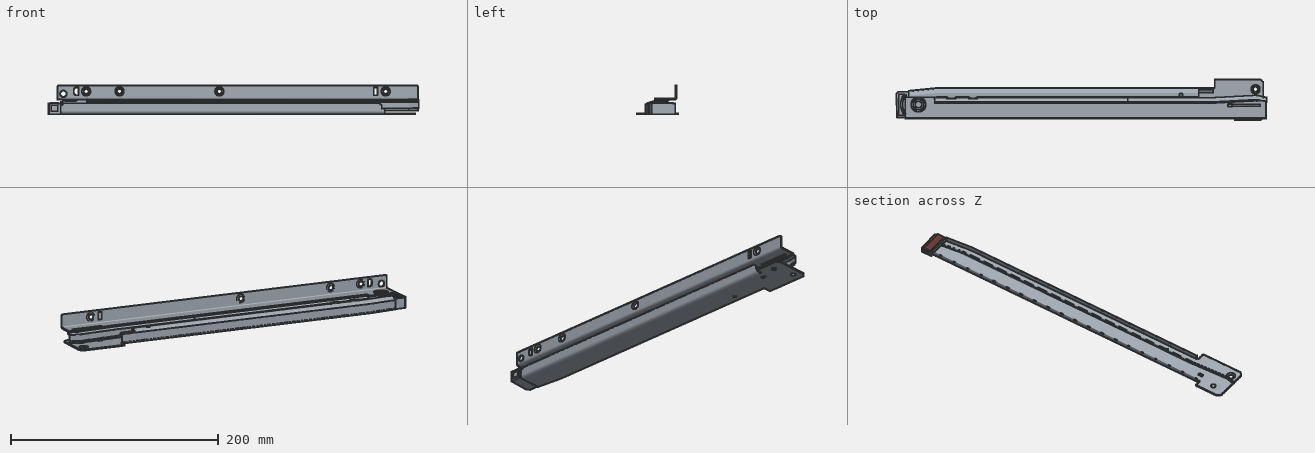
import math

import cadquery as cq


TOTAL_LENGTH = 356.63
TOTAL_WIDTH = 39.5
TOTAL_HEIGHT = 27.83
SHEET = 1.2

UPPER_START = 9.0
UPPER_END = TOTAL_LENGTH - 0.8
FLANGE_FRONT = 1.3
WEB_TOP = 15.2
UPPER_BEND = 2.2
FLANGE_CORNER = 1.5
WEB_EDGE = 16.6
FULL_WEB_EDGE = 22.2
STEP_START = 37.0
STEP_FOOT = (17.8, 13.8)
TRACK_EDGE = (21.9, 12.4)
SKIRT_START = 14.0
SKIRT_BOTTOM = 5.4
CURL = (20.9, 3.4)
CREASE = (19.8, 13.4)
CREASE_START = 223.0
NOTCHES_X = ((48.5, 58.0), (69.5, 78.5))
NOTCH_DEPTH = 1.0
NOTCH_BOTTOM = 9.0
FLARE_START = 306.0
FLARE_SHIFT = 2.2
TAIL_START = 347.0
TAIL_DEPTH = 2.2
TAIL_BOTTOM = 5.6

GRID = 32.0
SCREW_FIRST = 36.7
SCREW_STEPS = (0, 1, 4, 9)
SCREW_Z = 22.0
SCREW_DIAMETER = 4.6
SINK_DIAMETER = 8.4
SINK_ANGLE = 115.0
PIN_HOLE = (14.7, 19.7)
PIN_HOLE_DIAMETER = 6.0
LEFT_SLOT_X = 27.0
LEFT_SLOT_SIZE = (4.2, 7.2)
RIGHT_SLOT_X = 315.0
RIGHT_SLOT_SIZE = (3.2, 7.4)

DIMPLE_CENTER = (21.5, 15.2)
DIMPLE_RADIUS = 7.0
DIMPLE_FLOOR_RADIUS = 5.2
DIMPLE_DEPTH = 1.4
RIVET_RADIUS = 3.2
RIVET_HEIGHT = 0.4
LATCH_SLOT_X = (319.3, 350.0)
LATCH_SLOT_Y = (13.4, 15.6)

LOWER_START = 12.0
LOWER_END = 324.0
LOWER_FRONT = 3.6
LOWER_REAR = 31.3
LOWER_BEND = 3.2
FRONT_WALL_TOP = 10.7
FRONT_WALL_CUT = 3.0
FRONT_WALL_END = 321.0
FRONT_WALL_END_CUT = 2.5
FRONT_WALL_FOOT = 5.2
REAR_WALL_TOP = 9.6
SHOULDER = (29.4, 10.8)
LIP_TOP = 11.8
LIP_START = 26.3
LIP_EDGE = 22.5
TAPER_END = 40.0
TAPER_SHIFT = 2.8
LOWER_REAR_END = 305.0
LIP_END = 291.0
FLAP_EDGE_Z = 9.0
TONGUE_GAP = 0.3
PEEP_HOLE = (274.0, 24.4)
PEEP_HOLE_DIAMETER = 2.8
BASE_SLOT_X = (319.0, 323.0)

TAB_START = 306.3
TAB_END = 353.3
TAB_CORNER = 3.0
TAB_NECK = 325.5
TAB_HOLE = (345.7, 29.9)
RECESS_CENTER = (339.5, 9.4)
RECESS_RADIUS = 7.0
RECESS_FLOOR_RADIUS = 4.8
RECESS_DEPTH = 0.7
RECESS_HOLE_RADIUS = 2.2

STOP_FRONT = 2.6
STOP_REAR = 27.6
STOP_TOP = 10.4
STOP_CORNER = 2.2
STOP_SETBACK = 0.9
PAD_HEIGHT = 0.8
PAD_MARGIN = 2.4
STOP_POCKET_X = (3.0, 9.4)
STOP_POCKET_Z = (2.8, 8.6)
STOP_POCKET_DEPTH = 0.5
ARC_GROOVE_RADIUS = 17.0
ARC_GROOVE_WIDTH = 1.8


def sheet_outline(path):
    """Closed Y-Z outline of a bent sheet lying to the right of the path, with mitred corners."""
    normals = []
    for (y0, z0), (y1, z1) in zip(path, path[1:]):
        length = math.hypot(y1 - y0, z1 - z0)
        normals.append(((z1 - z0) / length, (y0 - y1) / length))
    before = [normals[0]] + normals
    after = normals + [normals[-1]]
    inner = []
    for (y, z), (ay, az), (by, bz) in zip(path, before, after):
        reach = SHEET / (1 + ay * by + az * bz)
        inner.append((y + reach * (ay + by), z + reach * (az + bz)))
    return list(path) + inner[::-1]


def bent_sheet(path, x_start, x_end, start_shift=0.0, end_shift=0.0):
    """Sheet along X; its two ends may be shifted along Y to make it run at an angle."""
    outline = sheet_outline(path)
    ends = []
    for x, shift in ((x_start, start_shift), (x_end, end_shift)):
        points = [cq.Vector(x, y + shift, z) for y, z in outline]
        ends.append(cq.Wire.makePolygon(points, close=True))
    return cq.Workplane(obj=cq.Solid.makeLoft(ends, True))


def block(x_range, y_range, z_range):
    size = [high - low for low, high in (x_range, y_range, z_range)]
    corner = (x_range[0], y_range[0], z_range[0])
    return cq.Workplane().box(*size, centered=False).translate(corner)


def tapered_disc(center, top, radius, floor_radius, depth):
    """Disc that narrows downward from the given top level."""
    return (
        cq.Workplane(origin=(*center, top))
        .circle(radius)
        .workplane(offset=-depth)
        .circle(floor_radius)
        .loft(ruled=True)
    )


def cylinder_z(center, radius, z_low, z_high):
    return cq.Workplane().center(*center).circle(radius).extrude(z_high - z_low).translate((0, 0, z_low))


def trapezoid(x_range, wide_y, narrow_y, z_range):
    """Prism along Z whose sides slope at 45 degrees from its wide side to its narrow side."""
    x_start, x_end = x_range
    inset = abs(wide_y - narrow_y)
    outline = [(x_start, wide_y), (x_start + inset, narrow_y), (x_end - inset, narrow_y), (x_end, wide_y)]
    prism = cq.Workplane().polyline(outline).close().extrude(z_range[1] - z_range[0])
    return prism.translate((0, 0, z_range[0]))


def angle_strip(x_range, front, outer_bend, outline):
    """Sheet bent along X, with rounded inside and outside of its lower front bend."""
    strip = cq.Workplane("YZ").polyline(outline).close().extrude(x_range[1] - x_range[0])
    bottom = min(z for _, z in outline)
    outside = cq.selectors.NearestToPointSelector((strip.val().Center().x, front, bottom))
    inside_point = (strip.val().Center().x, front + SHEET, bottom + SHEET)
    strip = strip.edges("|X").edges(outside).fillet(outer_bend)
    strip = strip.edges("|X").edges(cq.selectors.NearestToPointSelector(inside_point))
    return strip.fillet(outer_bend - SHEET).translate((x_range[0], 0, 0))


def upper_angle():
    """Mounting flange and flat web."""
    web_bottom = WEB_TOP - SHEET
    outline = sheet_outline([(WEB_EDGE, web_bottom), (FLANGE_FRONT, web_bottom), (FLANGE_FRONT, TOTAL_HEIGHT)])
    angle = angle_strip((UPPER_START, UPPER_END), FLANGE_FRONT, UPPER_BEND, outline)
    angle = angle.edges("|Y and >Z").fillet(FLANGE_CORNER)
    wide_end = block((UPPER_START, STEP_START), (WEB_EDGE, FULL_WEB_EDGE), (web_bottom, WEB_TOP))
    return angle.union(wide_end)


def upper_track():
    """Stepped track and hanging skirt; the right end flares to the rear and ends in a bent tail."""
    skirt = [TRACK_EDGE, (TRACK_EDGE[0], SKIRT_BOTTOM), CURL]
    slope = [(WEB_EDGE - SHEET, WEB_TOP), (WEB_EDGE, WEB_TOP), STEP_FOOT]
    creased = slope + [CREASE] + skirt
    skirt_under_web = [(TRACK_EDGE[0], WEB_TOP - SHEET)] + skirt[1:]
    tail_path = [STEP_FOOT, CREASE, TRACK_EDGE, (TRACK_EDGE[0], TAIL_BOTTOM)]
    track = bent_sheet(skirt_under_web, SKIRT_START, STEP_START, -TAPER_SHIFT, 0.0)
    track = track.union(bent_sheet(slope + skirt, STEP_START, CREASE_START))
    track = track.union(bent_sheet(creased, CREASE_START, FLARE_START))
    track = track.union(bent_sheet(creased, FLARE_START, TAIL_START, 0.0, FLARE_SHIFT))
    tail = bent_sheet(tail_path, TAIL_START, TOTAL_LENGTH, FLARE_SHIFT, FLARE_SHIFT - TAIL_DEPTH)
    floor = TRACK_EDGE[0] - NOTCH_DEPTH
    for notch in NOTCHES_X:
        track = track.cut(trapezoid(notch, TRACK_EDGE[0], floor, (NOTCH_BOTTOM, WEB_TOP)))
    flare_web = (
        cq.Workplane()
        .polyline([
            (FLARE_START, WEB_EDGE),
            (TAIL_START, WEB_EDGE + FLARE_SHIFT),
            (UPPER_END, WEB_EDGE + FLARE_SHIFT),
            (UPPER_END, WEB_EDGE - SHEET),
            (FLARE_START, WEB_EDGE - SHEET),
        ])
        .close()
        .extrude(SHEET)
        .translate((0, 0, WEB_TOP - SHEET))
    )
    tail_curl = bent_sheet([(TRACK_EDGE[0], TAIL_BOTTOM), CURL], TAIL_START, UPPER_END, FLARE_SHIFT,
                           FLARE_SHIFT - TAIL_DEPTH)
    return track.union(tail).union(tail_curl).union(flare_web)


def countersunk_holes(plate, points):
    return plate.pushPoints(points).cskHole(SCREW_DIAMETER, SINK_DIAMETER, SINK_ANGLE, depth=2 * SHEET)


def flange_plane(rail):
    return rail.copyWorkplane(cq.Workplane("XZ", origin=(0, FLANGE_FRONT, 0)))


def cut_flange_holes(rail):
    screws = [(SCREW_FIRST + GRID * step, SCREW_Z) for step in SCREW_STEPS]
    rail = countersunk_holes(flange_plane(rail), screws)
    rail = flange_plane(rail).pushPoints([PIN_HOLE]).hole(PIN_HOLE_DIAMETER, depth=2 * SHEET)
    y_range = (FLANGE_FRONT - SHEET, FLANGE_FRONT + 2 * SHEET)
    slots = []
    for x, (width, height) in ((LEFT_SLOT_X, LEFT_SLOT_SIZE), (RIGHT_SLOT_X, RIGHT_SLOT_SIZE)):
        z_range = (SCREW_Z - height / 2, SCREW_Z + height / 2)
        slots.append(block((x - width / 2, x + width / 2), y_range, z_range))
    rounded_slot = slots[0].edges("|Y and <X").fillet(LEFT_SLOT_SIZE[0] / 2)
    return rail.cut(rounded_slot).cut(slots[1])


def add_dimple(rail):
    """Pressed dimple holding a flat rivet head."""
    floor = WEB_TOP - DIMPLE_DEPTH
    rivet = cylinder_z(DIMPLE_CENTER, RIVET_RADIUS, floor, floor + RIVET_HEIGHT)
    shape = (DIMPLE_RADIUS, DIMPLE_FLOOR_RADIUS, DIMPLE_DEPTH)
    underside = tapered_disc(DIMPLE_CENTER, WEB_TOP - SHEET, *shape)
    hollow = tapered_disc(DIMPLE_CENTER, WEB_TOP, *shape)
    return rail.union(underside).cut(hollow).union(rivet)


def upper_rail():
    rail = upper_angle().union(upper_track())
    rail = cut_flange_holes(rail)
    rail = add_dimple(rail)
    return rail.cut(block(LATCH_SLOT_X, LATCH_SLOT_Y, (WEB_TOP - 2 * SHEET, WEB_TOP + SHEET)))


def lower_angle():
    """Front wall with sloped ends and the base behind it."""
    base_rear = LOWER_REAR - TAPER_SHIFT - SHEET
    outline = sheet_outline([(base_rear, 0), (LOWER_FRONT, 0), (LOWER_FRONT, FRONT_WALL_TOP)])
    angle = angle_strip((LOWER_START, LOWER_END), LOWER_FRONT, LOWER_BEND, outline)
    angle = angle.edges("|Y and >Z and <X").chamfer(FRONT_WALL_CUT)
    wall_y = (LOWER_FRONT, LOWER_FRONT + SHEET)
    angle = angle.cut(block((FRONT_WALL_END, LOWER_END), wall_y, (FRONT_WALL_FOOT, FRONT_WALL_TOP)))
    return angle.edges("|Y").edges(">Z").edges(">X").chamfer(FRONT_WALL_END_CUT)


def lower_rear():
    """Rear wall with a sloped shoulder and a flat, tongued lip; the left end tapers to the front."""
    path = [
        (LIP_EDGE, LIP_TOP),
        (LIP_START, LIP_TOP),
        SHOULDER,
        (LOWER_REAR, REAR_WALL_TOP),
        (LOWER_REAR, 0),
        (LOWER_REAR - TAPER_SHIFT - 2 * SHEET, 0),
    ]
    straight = bent_sheet(path, TAPER_END, LOWER_REAR_END)
    taper = bent_sheet(path, LOWER_START, TAPER_END, -TAPER_SHIFT, 0.0)
    lip_cut = block((LIP_END, LOWER_REAR_END), (LIP_EDGE, SHOULDER[0]), (SHEET, LIP_TOP))
    flap = bent_sheet([(LIP_START, FLAP_EDGE_Z), SHOULDER], LIP_END, LOWER_REAR_END)
    rear = straight.union(taper).cut(lip_cut).union(flap)
    tongue_tip = TRACK_EDGE[0] - NOTCH_DEPTH + TONGUE_GAP
    for x_start, x_end in NOTCHES_X:
        tongue_x = (x_start + TONGUE_GAP, x_end - TONGUE_GAP)
        rear = rear.union(trapezoid(tongue_x, LIP_EDGE, tongue_tip, (LIP_TOP - SHEET, LIP_TOP)))
    return rear


def screw_tab():
    """Flat tab with a countersunk hole and a recessed hole; its right part spans the full width."""
    narrow = block((TAB_START, TAB_NECK), (LOWER_FRONT + LOWER_BEND, TOTAL_WIDTH), (0, SHEET))
    wide = block((TAB_NECK, TAB_END), (0, TOTAL_WIDTH), (0, SHEET))
    wide = wide.edges("|Z and >X").chamfer(TAB_CORNER)
    tab = narrow.union(wide)
    joint = block((LOWER_REAR_END, TAB_START), (LOWER_FRONT + LOWER_BEND, LOWER_REAR), (0, SHEET))
    tab = tab.union(joint)
    tab = tab.copyWorkplane(cq.Workplane(origin=(0, 0, SHEET)))
    tab = countersunk_holes(tab, [TAB_HOLE])
    recess = tapered_disc(RECESS_CENTER, SHEET, RECESS_RADIUS, RECESS_FLOOR_RADIUS, RECESS_DEPTH)
    return tab.cut(recess).cut(cylinder_z(RECESS_CENTER, RECESS_HOLE_RADIUS, 0, SHEET))


def lower_rail():
    rail = lower_angle().union(lower_rear()).union(screw_tab())
    rail = rail.cut(cylinder_z(PEEP_HOLE, PEEP_HOLE_DIAMETER / 2, 0, LIP_TOP))
    return rail.cut(block(BASE_SLOT_X, LATCH_SLOT_Y, (0, SHEET)))


def end_stop():
    """Block closing the left end, with a raised pad, an arc groove and a shallow front pocket."""
    stop = (
        cq.Workplane()
        .polyline([
            (STOP_SETBACK, STOP_FRONT),
            (LOWER_START, STOP_FRONT),
            (LOWER_START, STOP_REAR),
            (STOP_CORNER, STOP_REAR),
            (0, STOP_REAR - STOP_CORNER),
        ])
        .close()
        .extrude(STOP_TOP)
    )
    pad = block(
        (PAD_MARGIN, LOWER_START - PAD_MARGIN),
        (STOP_FRONT + PAD_MARGIN, STOP_REAR - PAD_MARGIN),
        (STOP_TOP, STOP_TOP + PAD_HEIGHT),
    )
    pocket = block(STOP_POCKET_X, (STOP_FRONT, STOP_FRONT + STOP_POCKET_DEPTH), STOP_POCKET_Z)
    groove_z = (STOP_TOP, STOP_TOP + PAD_HEIGHT)
    groove = cylinder_z(DIMPLE_CENTER, ARC_GROOVE_RADIUS, *groove_z)
    groove = groove.cut(cylinder_z(DIMPLE_CENTER, ARC_GROOVE_RADIUS - ARC_GROOVE_WIDTH, *groove_z))
    return stop.union(pad).cut(pocket).cut(groove)


result = cq.Compound.makeCompound([upper_rail().val(), lower_rail().val(), end_stop().val()])